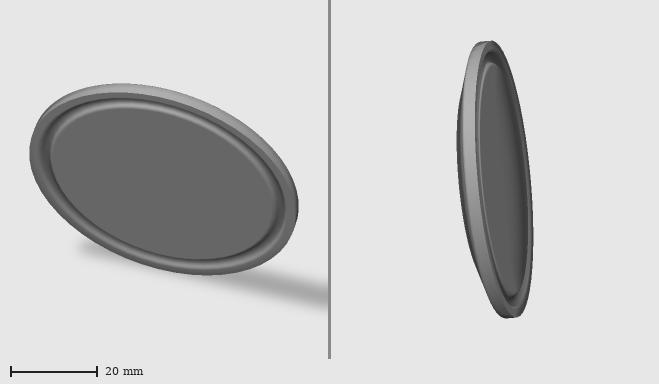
import cadquery as cq
import math

outer_radius = 32.0
thickness = 6.35
back_face_radius = 22.5
back_slope = math.radians(20)
rim_fillet = 0.8

groove_mid_radius = 28.2
groove_bottom_radius = 1.2
lip_radius = 0.8
wall_width = 0.25
flank_angle = math.radians(60)


def make_disc():
    """Coin-shaped disc with a conical back and a rounded rim."""
    rim_height = thickness - (outer_radius - back_face_radius) * math.tan(back_slope)
    disc = (
        cq.Workplane("XY")
        .polyline([
            (0, 0),
            (outer_radius, 0),
            (outer_radius, rim_height),
            (back_face_radius, thickness),
            (0, thickness),
        ])
        .close()
        .revolve(360, (0, 0, 0), (0, 1, 0))
    )
    return disc.edges("%CIRCLE and (not >Y) and (not <Y)").fillet(rim_fillet)


def make_groove():
    """Ring-shaped cutter whose section is a round valley between straight walls and lips."""
    bottom_offset = groove_bottom_radius * math.sin(flank_angle)
    lip_offset = bottom_offset + wall_width
    half_width = lip_offset + lip_radius * math.sin(flank_angle)

    lip_depth = lip_radius * (1 - math.cos(flank_angle))
    bottom_depth = lip_depth + wall_width * math.tan(flank_angle)
    full_depth = bottom_depth + groove_bottom_radius * (1 - math.cos(flank_angle))

    half_angle = flank_angle / 2
    lip_mid_offset = half_width - lip_radius * math.sin(half_angle)
    lip_mid_depth = lip_radius * (1 - math.cos(half_angle))

    mid = groove_mid_radius
    return (
        cq.Workplane("XY")
        .moveTo(mid - half_width, 0)
        .threePointArc((mid - lip_mid_offset, lip_mid_depth), (mid - lip_offset, lip_depth))
        .lineTo(mid - bottom_offset, bottom_depth)
        .threePointArc((mid, full_depth), (mid + bottom_offset, bottom_depth))
        .lineTo(mid + lip_offset, lip_depth)
        .threePointArc((mid + lip_mid_offset, lip_mid_depth), (mid + half_width, 0))
        .close()
        .revolve(360, (0, 0, 0), (0, 1, 0))
    )


result = make_disc().cut(make_groove())